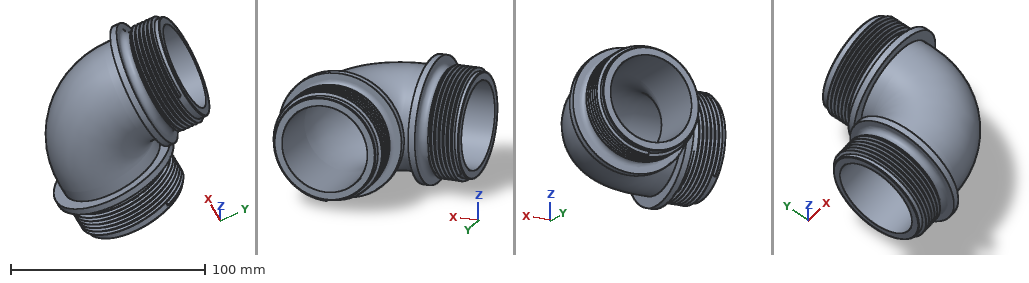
import cadquery as cq

longest_side = 95.0

pipe_radius = 56.0 / 2
bore_radius = 47.2 / 2
straight_length = 31.8
end_chamfer = 0.4

flange_radius = 68.0 / 2
flange_start = 21.8
flange_thickness = 3.7

groove_arc_radius = 2.85
groove_floor_radius = 27.55
groove_arc_center_radius = groove_floor_radius + groove_arc_radius
groove_center = flange_start - groove_arc_radius

thread_turns = 7
thread_length = 16.15
thread_pitch = thread_length / thread_turns
thread_crest_radius = 29.7
thread_root_width = 1.7
thread_crest_width = 0.3
thread_sink = 0.3
x_end_thread_start = 2.6
y_end_thread_start = 3.0

end_face_distance = longest_side - flange_radius
bend_radius = end_face_distance - straight_length


def thread_ridge(start):
    """Helical ridge around Z, beginning at height `start` on the +X side."""
    sunk_radius = pipe_radius - thread_sink
    half_crest = thread_crest_width / 2
    half_root = thread_root_width / 2
    flank_slope = (half_root - half_crest) / (thread_crest_radius - pipe_radius)
    half_base = half_root + thread_sink * flank_slope
    helix = cq.Wire.makeHelix(thread_pitch, thread_length, pipe_radius)
    profile = (
        cq.Workplane("XZ")
        .moveTo(sunk_radius, -half_base)
        .lineTo(thread_crest_radius, -half_crest)
        .lineTo(thread_crest_radius, half_crest)
        .lineTo(sunk_radius, half_base)
        .close()
    )
    ridge = profile.sweep(cq.Workplane(helix), isFrenet=True)
    return ridge.translate((0, 0, start))


def relief_groove():
    """Ring cut from the last thread turns up to the flange, with a round floor."""
    near_edge = groove_center - groove_arc_radius
    return (
        cq.Workplane("XZ")
        .moveTo(flange_radius, near_edge)
        .lineTo(groove_arc_center_radius, near_edge)
        .threePointArc(
            (groove_floor_radius, groove_center),
            (groove_arc_center_radius, flange_start),
        )
        .lineTo(flange_radius, flange_start)
        .close()
        .revolve(360, (0, 0), (0, 1))
    )


def disc(radius, start, thickness):
    """Round disc around Z with its lower face at height `start`."""
    return cq.Workplane("XY").workplane(offset=start).circle(radius).extrude(thickness)


def threaded_end(thread_start):
    """Solid pipe end: end face at Z = 0, start of the bend at Z = straight_length."""
    pipe = disc(pipe_radius, 0, straight_length).faces("<Z").chamfer(end_chamfer)
    collar = disc(groove_arc_center_radius, groove_center, groove_arc_radius)
    flange = disc(flange_radius, flange_start, flange_thickness)
    body = pipe.union(collar).union(flange).union(thread_ridge(thread_start))
    return body.cut(relief_groove())


def place(end, plane):
    """Move a part from the global frame into the given plane's frame."""
    return cq.Workplane(end.val().moved(cq.Location(plane)))


def bend(radius):
    """Quarter torus joining the two straight ends."""
    return (
        cq.Workplane("YZ", origin=(-bend_radius, 0, 0))
        .circle(radius)
        .revolve(90, (bend_radius, 0), (bend_radius, 1))
    )


x_end_plane = cq.Plane((-end_face_distance, 0, 0), xDir=(0, 1, -1), normal=(1, 0, 0))
y_end_plane = cq.Plane((0, end_face_distance, 0), xDir=(0, 0, -1), normal=(0, -1, 0))

straight_bore = disc(bore_radius, 0, straight_length)

elbow = bend(pipe_radius)
elbow = elbow.union(place(threaded_end(x_end_thread_start), x_end_plane))
elbow = elbow.union(place(threaded_end(y_end_thread_start), y_end_plane))

passage = bend(bore_radius)
passage = passage.union(place(straight_bore, x_end_plane))
passage = passage.union(place(straight_bore, y_end_plane))

result = elbow.cut(passage)